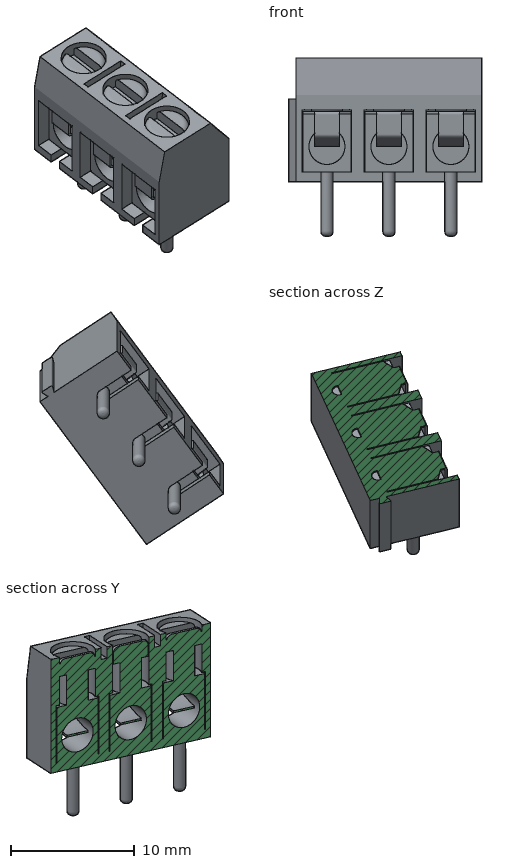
import cadquery as cq
import math


overall_length = 15.6
housing_length = 15.0
pole_count = 3
pitch = housing_length / pole_count
housing_depth = 7.6
housing_height = 10.0
shoulder_height = 7.0
front_setback = 0.6
back_setback = 2.0
pole_y = front_setback + (housing_depth - front_setback - back_setback) / 2
pole_positions = [(i - (pole_count - 1) / 2) * pitch for i in range(pole_count)]

chamber_width = 4.0
chamber_floor = 0.8
chamber_roof = 5.8
chamber_back = 6.0

pin_diameter = 1.0
pin_length = 4.4
pin_tip_radius = 0.39

clamp_width = 3.9
clamp_front = 1.09
clamp_top = 5.7
wire_hole_diameter = 2.9
wire_hole_z = 2.85
plate_thickness = 0.2
plate_shoulder_depth = 0.55
tongue_width = 2.0
tongue_front = 0.53
tongue_bend_radius = 0.3
tongue_bend_z = 3.82
tongue_bottom = 2.84
tongue_foot_angle = math.radians(15)
foot_sole_radius = 3.9

bore_diameter = 3.63
head_diameter = 3.6
head_height = 1.5
head_recess = 0.2
head_edge_radius = 0.5
driver_slot_width = 1.0
driver_slot_depth = 1.0
shank_diameter = 2.5

slit_width = 0.5
slit_length = 4.0
slit_depth = 1.0
slit_back_lean = 0.03

probe_diameter = 1.0
probe_back_distance = 1.5
probe_y = housing_depth - probe_back_distance
probe_bottom = 5.49

rail_projection = overall_length - housing_length
rail_height = 6.7
rail_y = 6.5
rail_root_width = 0.62
rail_tip_width = 1.06
rail_edge_radius = 0.1


def box(x_size, y_start, y_end, z_start, z_end):
    """Box centred on X = 0 between the given Y and Z limits."""
    return cq.Workplane("XY", origin=(0, y_start, z_start)).box(
        x_size, y_end - y_start, z_end - z_start, centered=(True, False, False)
    )


def cylinder(diameter, y, z_start, z_end):
    """Upright cylinder on X = 0."""
    return (
        cq.Workplane("XY", origin=(0, y, z_start)).circle(diameter / 2).extrude(z_end - z_start)
    )


def at_positions(shape, positions):
    """Copies of a shape at each X position, as one workplane."""
    copies = cq.Workplane("XY")
    for x in positions:
        copies = copies.add(shape.translate((x, 0, 0)))
    return copies.combine()


def make_block():
    profile = [
        (0, 0),
        (housing_depth, 0),
        (housing_depth, shoulder_height),
        (housing_depth - back_setback, housing_height),
        (front_setback, housing_height),
        (0, shoulder_height),
    ]
    return cq.Workplane("YZ").polyline(profile).close().extrude(housing_length / 2, both=True)


def make_rail():
    side = -housing_length / 2
    tip = side - rail_projection
    profile = [
        (side, rail_y - rail_root_width / 2),
        (side, rail_y + rail_root_width / 2),
        (tip, rail_y + rail_tip_width / 2),
        (tip, rail_y - rail_tip_width / 2),
    ]
    rail = cq.Workplane("XY").polyline(profile).close().extrude(rail_height)
    return rail.faces("<X").edges("|Z").fillet(rail_edge_radius)


def make_pole_cavity():
    """Everything removed from the housing for one pole."""
    chamber = box(chamber_width, 0, chamber_back, chamber_floor, chamber_roof)
    floor_slot = box(pin_diameter, 0, pole_y, 0, chamber_floor)
    bore = cylinder(bore_diameter, pole_y, chamber_roof, housing_height)
    probe_hole = cylinder(probe_diameter, probe_y, probe_bottom, housing_height)
    slope_limit = box(probe_diameter, housing_depth - back_setback, housing_depth, 0, housing_height)
    return chamber.union(floor_slot).union(bore).union(probe_hole.intersect(slope_limit))


def make_slit():
    slit_front = pole_y - slit_length / 2
    slit_back = pole_y + slit_length / 2
    slit_bottom = housing_height - slit_depth
    profile = [
        (slit_front, slit_bottom),
        (slit_back - slit_back_lean, slit_bottom),
        (slit_back, housing_height),
        (slit_front, housing_height),
    ]
    return cq.Workplane("YZ").polyline(profile).close().extrude(slit_width / 2, both=True)


def make_pin():
    pin = cylinder(pin_diameter, pole_y, -pin_length, chamber_floor)
    return pin.faces("<Z").edges().fillet(pin_tip_radius)


def make_plate():
    """Pressing plate on top of the clamp, with front corners swept back from the tongue."""
    outline = [
        (-tongue_width / 2, clamp_front),
        (tongue_width / 2, clamp_front),
        (clamp_width / 2, clamp_front + plate_shoulder_depth),
        (clamp_width / 2, chamber_back),
        (-clamp_width / 2, chamber_back),
        (-clamp_width / 2, clamp_front + plate_shoulder_depth),
    ]
    return (
        cq.Workplane("XY", origin=(0, 0, clamp_top - plate_thickness))
        .polyline(outline)
        .close()
        .extrude(plate_thickness)
    )


def point_on_arc(centre, radius, turn):
    """Point in the YZ plane at an angle from -Y, where a positive turn goes upward."""
    return (centre[0] - radius * math.cos(turn), centre[1] + radius * math.sin(turn))


def make_tongue():
    """Plate strip that bends down in front of the wire hole, then back into it as a levelling foot."""
    top_bend = (tongue_front + tongue_bend_radius, clamp_top - tongue_bend_radius)
    heel = (top_bend[0], tongue_bend_z)
    inner_radius = tongue_bend_radius - plate_thickness
    upper_sole_radius = foot_sole_radius - plate_thickness

    half_bend = math.radians(45)
    foot_turn = tongue_foot_angle - math.pi / 2
    heel_outer = point_on_arc(heel, tongue_bend_radius, foot_turn)
    heel_inner = point_on_arc(heel, inner_radius, foot_turn)

    sole_centre_z = tongue_bottom + foot_sole_radius
    sole_start_z = sole_centre_z - foot_sole_radius * math.cos(tongue_foot_angle)
    sole_start_y = heel_outer[0] + (heel_outer[1] - sole_start_z) / math.tan(tongue_foot_angle)
    sole_centre = (sole_start_y + foot_sole_radius * math.sin(tongue_foot_angle), sole_centre_z)
    sole_half_turn = (foot_turn - math.pi / 2) / 2

    def on_sole(radius, turn):
        return point_on_arc(sole_centre, radius, turn)

    profile = (
        cq.Workplane("YZ")
        .moveTo(clamp_front, clamp_top)
        .lineTo(top_bend[0], clamp_top)
        .threePointArc(
            point_on_arc(top_bend, tongue_bend_radius, half_bend), (tongue_front, top_bend[1])
        )
        .lineTo(tongue_front, tongue_bend_z)
        .threePointArc(point_on_arc(heel, tongue_bend_radius, foot_turn / 2), heel_outer)
        .lineTo(*on_sole(foot_sole_radius, foot_turn))
        .threePointArc(
            on_sole(foot_sole_radius, sole_half_turn), on_sole(foot_sole_radius, -math.pi / 2)
        )
        .lineTo(*on_sole(upper_sole_radius, -math.pi / 2))
        .threePointArc(
            on_sole(upper_sole_radius, sole_half_turn), on_sole(upper_sole_radius, foot_turn)
        )
        .lineTo(*heel_inner)
        .threePointArc(
            point_on_arc(heel, inner_radius, foot_turn / 2),
            (tongue_front + plate_thickness, tongue_bend_z),
        )
        .lineTo(tongue_front + plate_thickness, top_bend[1])
        .threePointArc(
            point_on_arc(top_bend, inner_radius, half_bend),
            (top_bend[0], clamp_top - plate_thickness),
        )
        .lineTo(clamp_front, clamp_top - plate_thickness)
        .close()
    )
    return profile.extrude(tongue_width / 2, both=True)


def make_clamp():
    cage = box(clamp_width, clamp_front, chamber_back, chamber_floor, clamp_top - plate_thickness)
    wire_hole = (
        cq.Workplane("XZ", origin=(0, 0, wire_hole_z))
        .circle(wire_hole_diameter / 2)
        .extrude(-chamber_back)
    )
    return cage.cut(wire_hole).union(make_plate()).union(make_tongue())


def make_screw():
    head_top = housing_height - head_recess
    head_bottom = head_top - head_height
    head = cylinder(head_diameter, pole_y, head_bottom, head_top)
    head = head.faces(">Z").edges().fillet(head_edge_radius)
    driver_slot = box(
        head_diameter,
        pole_y - driver_slot_width / 2,
        pole_y + driver_slot_width / 2,
        head_top - driver_slot_depth,
        head_top,
    )
    shank = cylinder(shank_diameter, pole_y, clamp_top, head_bottom)
    return head.cut(driver_slot).union(shank)


slit_positions = [x + pitch / 2 for x in pole_positions[:-1]]

housing = (
    make_block()
    .union(make_rail())
    .cut(at_positions(make_pole_cavity(), pole_positions))
    .cut(at_positions(make_slit(), slit_positions))
)
pole_hardware = make_clamp().union(make_screw()).union(make_pin())

result = housing.union(at_positions(pole_hardware, pole_positions))